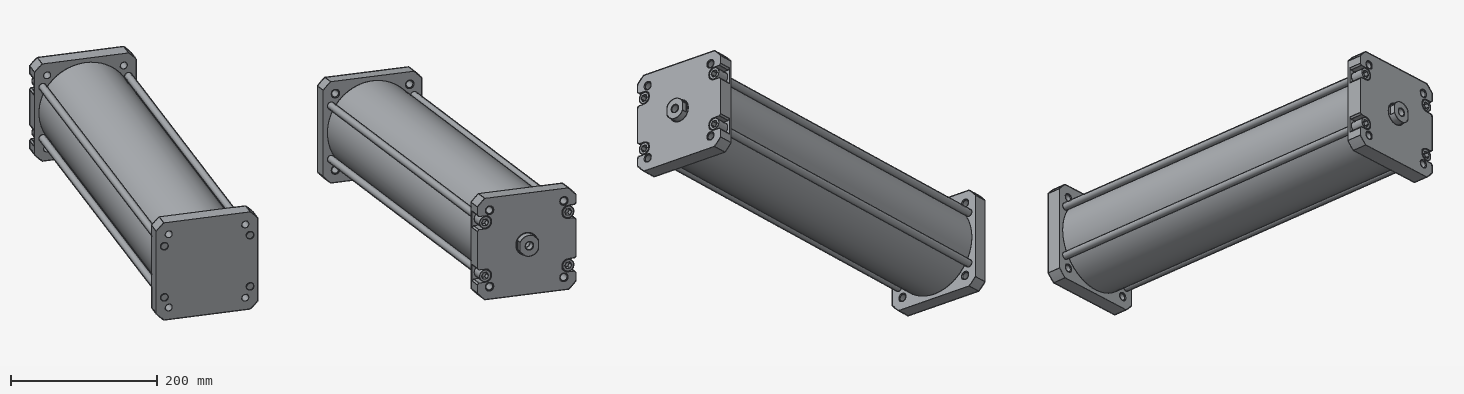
import cadquery as cq
import math

TOTAL_LENGTH = 588.0
PLATE_SIZE = 145.0
PLATE_CORNER_DIAMETER = 190.5
FRONT_PLATE_THICKNESS = 23.0
REAR_PLATE_THICKNESS = 21.0
TUBE_DIAMETER = 133.0
ROD_PROTRUSION = 9.5
BOLT_PROTRUSION = 2.0

ROD_TIP = -TOTAL_LENGTH / 2
BOLT_TIP = TOTAL_LENGTH / 2
FRONT_FACE = ROD_TIP + ROD_PROTRUSION
TUBE_START = FRONT_FACE + FRONT_PLATE_THICKNESS
REAR_FACE = BOLT_TIP - BOLT_PROTRUSION
TUBE_END = REAR_FACE - REAR_PLATE_THICKNESS

MOUNT_HOLE_OFFSET = 54.5
MOUNT_HOLE_DIAMETER = 10.0
MOUNT_HOLE_CHAMFER = 1.0

BOLT_OFFSET_Y = 61.0
BOLT_OFFSET_Z = 38.0
BOLT_DIAMETER = 10.5
HEAD_DIAMETER = 16.5
SOCKET_WIDTH = 9.0
SOCKET_DEPTH = 9.0

SLOT_WIDTH = 19.0
SLOT_DEPTH = 19.5
SLOT_MOUTH_CHAMFER = 2.5

ROD_DIAMETER = 30.0
ROD_FLAT_WIDTH = 27.0
ROD_FLAT_LENGTH = 7.5
ROD_BORE_CHAMFER = 1.0
ROD_HOLE_DIAMETER = 11.0
ROD_HOLE_DEPTH = 12.0
ROD_HOLE_CHAMFER = 0.5
DRILL_TIP_ANGLE = 118.0

SIDES = (-1, 1)
BOLT_POINTS = [(y * BOLT_OFFSET_Y, z * BOLT_OFFSET_Z) for y in SIDES for z in SIDES]
MOUNT_POINTS = [(y * MOUNT_HOLE_OFFSET, z * MOUNT_HOLE_OFFSET) for y in SIDES for z in SIDES]


def cylinders(x_start, x_end, diameter, points=((0, 0),)):
    """Cylinders along X from x_start to x_end, one at each (Y, Z) point."""
    base = cq.Workplane("YZ", origin=(x_start, 0, 0))
    return base.pushPoints(points).circle(diameter / 2).extrude(x_end - x_start)


def chamfer_cones(x, hole_diameter, chamfer, points=((0, 0),)):
    """45 degree cones that chamfer the -X rims, at position x, of holes at the (Y, Z) points."""
    base = cq.Workplane("YZ", origin=(x, 0, 0)).pushPoints(points)
    return base.circle(hole_diameter / 2 + chamfer).extrude(chamfer, taper=45)


def make_plate(x_start, x_end):
    """Square plate with corners turned to a circle, mounting holes and tie bolt holes."""
    plate = cq.Workplane("YZ", origin=(x_start, 0, 0)).rect(PLATE_SIZE, PLATE_SIZE).extrude(x_end - x_start)
    plate = plate.intersect(cylinders(x_start, x_end, PLATE_CORNER_DIAMETER))
    plate = plate.cut(cylinders(x_start, x_end, MOUNT_HOLE_DIAMETER, MOUNT_POINTS))
    plate = plate.cut(chamfer_cones(x_start, MOUNT_HOLE_DIAMETER, MOUNT_HOLE_CHAMFER, MOUNT_POINTS))
    return plate.cut(cylinders(x_start, x_end, BOLT_DIAMETER, BOLT_POINTS))


def make_head_slot(y, z):
    """Round-ended slot around a bolt head, opening with a chamfered mouth on the nearer Y side."""
    side_face = math.copysign(PLATE_SIZE / 2, y)
    throat = math.copysign(PLATE_SIZE / 2 - SLOT_MOUTH_CHAMFER, y)
    half_width = SLOT_WIDTH / 2
    half_mouth = half_width + SLOT_MOUTH_CHAMFER
    return (
        cq.Workplane("YZ", origin=(FRONT_FACE, 0, 0))
        .moveTo(y, z - half_width)
        .lineTo(throat, z - half_width)
        .lineTo(side_face, z - half_mouth)
        .lineTo(side_face, z + half_mouth)
        .lineTo(throat, z + half_width)
        .lineTo(y, z + half_width)
        .threePointArc((y - math.copysign(half_width, y), z), (y, z - half_width))
        .close()
        .extrude(SLOT_DEPTH)
    )


def make_front_plate():
    """Plate with a bolt head slot at each bolt and a chamfered bore for the piston rod."""
    plate = make_plate(FRONT_FACE, TUBE_START)
    for y, z in BOLT_POINTS:
        plate = plate.cut(make_head_slot(y, z))
    plate = plate.cut(cylinders(FRONT_FACE, TUBE_START, ROD_DIAMETER))
    return plate.cut(chamfer_cones(FRONT_FACE, ROD_DIAMETER, ROD_BORE_CHAMFER))


def make_rear_plate():
    return make_plate(TUBE_END, REAR_FACE)


def make_tube():
    """Plain cylinder body clamped between the two plates."""
    return cylinders(TUBE_START, TUBE_END, TUBE_DIAMETER)


def make_bolt(y, z):
    """Tie bolt with its head flush with the front face and its tip past the rear face."""
    head_seat = FRONT_FACE + SLOT_DEPTH
    head = cylinders(FRONT_FACE, head_seat, HEAD_DIAMETER, [(y, z)])
    shank = cylinders(head_seat, BOLT_TIP, BOLT_DIAMETER, [(y, z)])
    hexagon_diameter = SOCKET_WIDTH / math.cos(math.pi / 6)
    socket = cq.Workplane("YZ", origin=(FRONT_FACE, y, z)).polygon(6, hexagon_diameter).extrude(SOCKET_DEPTH)
    return head.union(shank).cut(socket)


def make_centre_drill():
    """Blind hole in the rod tip that ends in a drill point."""
    radius = ROD_HOLE_DIAMETER / 2
    shoulder = ROD_TIP + ROD_HOLE_DEPTH
    point = shoulder + radius / math.tan(math.radians(DRILL_TIP_ANGLE / 2))
    outline = cq.Workplane("XY").polyline([(ROD_TIP, 0), (ROD_TIP, radius), (shoulder, radius), (point, 0)])
    return outline.close().revolve(360, (ROD_TIP, 0, 0), (point, 0, 0))


def make_piston_rod():
    """Rod through the front plate, with two wrench flats and a chamfered centre hole at its tip."""
    rod = cylinders(ROD_TIP, TUBE_START, ROD_DIAMETER)
    tip_face = cq.Workplane("YZ", origin=(ROD_TIP, 0, 0))
    flats = cylinders(ROD_TIP, ROD_TIP + ROD_FLAT_LENGTH, ROD_DIAMETER).cut(
        tip_face.rect(ROD_FLAT_WIDTH, ROD_DIAMETER).extrude(ROD_FLAT_LENGTH)
    )
    rod = rod.cut(flats).cut(make_centre_drill())
    return rod.cut(chamfer_cones(ROD_TIP, ROD_HOLE_DIAMETER, ROD_HOLE_CHAMFER))


front_plate = make_front_plate()
rear_plate = make_rear_plate()
tube = make_tube()
piston_rod = make_piston_rod()
bolts = [make_bolt(y, z) for y, z in BOLT_POINTS]

result = cq.Compound.makeCompound(
    [front_plate.val(), rear_plate.val(), tube.val(), piston_rod.val(), *[bolt.val() for bolt in bolts]]
)